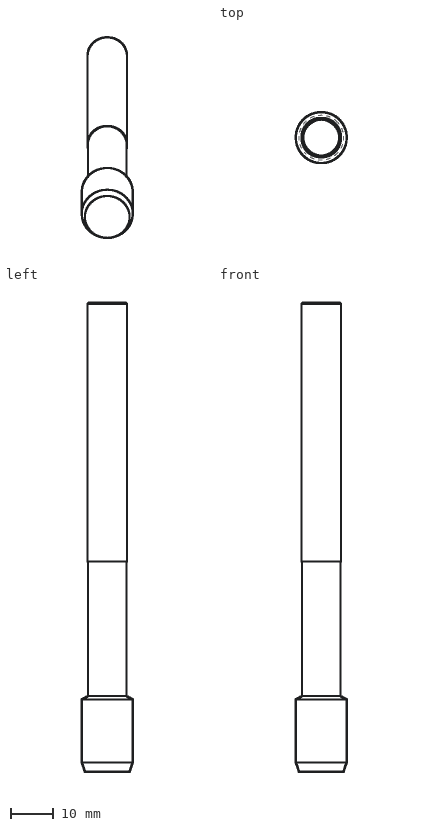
import cadquery as cq

total_length = 110.0

shank_radius = 4.65
neck_radius = 4.55
shank_base = 49.3
end_chamfer = 0.45

head_radius = 6.0
head_height = 17.75
shoulder_height = 0.75
tip_radius = 5.25
tip_height = 2.25


def turned(outline):
    """Revolve a closed (radius, height) outline about the Z axis."""
    profile = cq.Workplane("YZ").polyline(outline).close()
    return profile.revolve(360, (0, 0, 0), (0, 1, 0))


head = turned([
    (0, 0),
    (tip_radius, 0),
    (head_radius, tip_height),
    (head_radius, head_height - shoulder_height),
    (neck_radius, head_height),
    (0, head_height),
])

shank = turned([
    (0, head_height),
    (neck_radius, head_height),
    (neck_radius, shank_base),
    (shank_radius, shank_base),
    (shank_radius, total_length - end_chamfer),
    (shank_radius - end_chamfer, total_length),
    (0, total_length),
])

result = cq.Compound.makeCompound([head.val(), shank.val()])